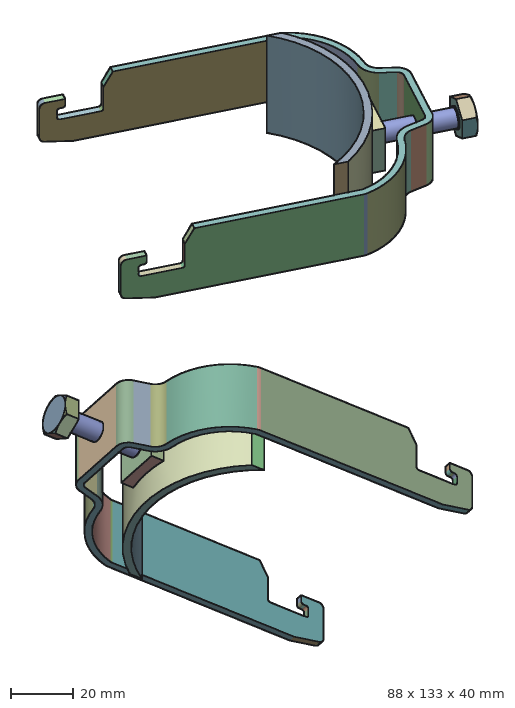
import cadquery as cq
import math

STRAP_WIDTH = 88.0
STRAP_HEIGHT = 25.3
STRAP_THICKNESS = 2.5
LEG_END_Y = -52.7
CROWN_Y = 63.5
BRIDGE_HALF_WIDTH = 14.5
WALL_LEAN = 15.5
SHOULDER_RADIUS = 27.4
SHOULDER_X = 17.4
SHOULDER_Y = 23.7
BRIDGE_BEND_RADIUS = 4.8
VALLEY_BEND_RADIUS = 4.8
LEG_BEND_RADIUS = 5.0

SLOPE_START_Y = -27.8
POCKET_TOP_Z = 7.0
POCKET_NEAR_Y = -31.0
POCKET_FAR_Y = -46.7
POCKET_FLOOR_Z = -2.7
HOOK_TIP_Y = -43.9
HOOK_TIP_Z = 1.9
HOOK_TOP_Z = 5.3
TAPER_START_Y = -41.2
TAPER_RISE = 2.4
POCKET_RADIUS = 0.9
HOOK_TIP_RADIUS = 1.0
HOOK_OUTER_RADIUS = 2.0

SADDLE_INNER_RADIUS = 41.6
SADDLE_THICKNESS = 2.8
SADDLE_WIDTH = 70.4
SADDLE_HEIGHT = 40.0
BLOCK_SIDE = 17.4
BLOCK_TOP_Y = 48.3

SHANK_DIAMETER = 7.0
SHANK_TIP_CHAMFER = 0.3
COLLAR_DIAMETER = 7.8
COLLAR_THICKNESS = 0.4
HEAD_ACROSS_FLATS = 13.0
HEAD_HEIGHT = 5.3
HEAD_CHAMFER_ANGLE = 30.0
BOLT_TOP_Y = LEG_END_Y + 133.0


def y_cylinder(diameter, start_y, end_y):
    """Cylinder along the Y axis between two Y positions."""
    disc = cq.Workplane("XZ", origin=(0, start_y, 0)).circle(diameter / 2)
    return disc.extrude(start_y - end_y)


def strap_band():
    """Bent strip of constant thickness, before the leg ends are shaped."""
    half_width = STRAP_WIDTH / 2
    lean = math.tan(math.radians(WALL_LEAN))

    def shoulder_y(x):
        return SHOULDER_Y + math.sqrt(SHOULDER_RADIUS**2 - (x - SHOULDER_X) ** 2)

    shoulder_top_y = SHOULDER_Y + SHOULDER_RADIUS
    valley_x = BRIDGE_HALF_WIDTH + (CROWN_Y - shoulder_top_y) * lean
    valley_y = shoulder_y(valley_x)
    leg_top_y = shoulder_y(half_width)
    middle_x = (valley_x + half_width) / 2
    middle_y = shoulder_y(middle_x)

    blank = (
        cq.Workplane("XY", origin=(0, 0, -STRAP_HEIGHT / 2))
        .moveTo(-half_width, LEG_END_Y - STRAP_THICKNESS)
        .lineTo(half_width, LEG_END_Y - STRAP_THICKNESS)
        .lineTo(half_width, leg_top_y)
        .threePointArc((middle_x, middle_y), (valley_x, valley_y))
        .lineTo(BRIDGE_HALF_WIDTH, CROWN_Y)
        .lineTo(-BRIDGE_HALF_WIDTH, CROWN_Y)
        .lineTo(-valley_x, valley_y)
        .threePointArc((-middle_x, middle_y), (-half_width, leg_top_y))
        .close()
        .extrude(STRAP_HEIGHT)
    )
    bends = [
        (half_width, leg_top_y, LEG_BEND_RADIUS),
        (valley_x, valley_y, VALLEY_BEND_RADIUS),
        (BRIDGE_HALF_WIDTH, CROWN_Y, BRIDGE_BEND_RADIUS),
    ]
    for x, y, radius in bends:
        for side in (-1, 1):
            corner = cq.selectors.NearestToPointSelector((side * x, y, 0))
            blank = blank.edges("|Z").edges(corner).fillet(radius)

    inside_wire = blank.faces("<Z").wires().val().offset2D(-STRAP_THICKNESS, "intersection")
    inside = cq.Workplane("XY").newObject(inside_wire).toPending().extrude(STRAP_HEIGHT)
    return blank.cut(inside)


def leg_side_profile():
    """Side shape of the legs with their hooks, extruded across the full width."""
    half_height = STRAP_HEIGHT / 2
    profile = (
        cq.Workplane("YZ", origin=(-STRAP_WIDTH / 2, 0, 0))
        .moveTo(CROWN_Y, half_height)
        .lineTo(SLOPE_START_Y, half_height)
        .lineTo(POCKET_NEAR_Y, POCKET_TOP_Z)
        .lineTo(POCKET_NEAR_Y, POCKET_FLOOR_Z)
        .lineTo(POCKET_FAR_Y, POCKET_FLOOR_Z)
        .lineTo(POCKET_FAR_Y, HOOK_TIP_Z)
        .lineTo(HOOK_TIP_Y, HOOK_TIP_Z)
        .lineTo(HOOK_TIP_Y, HOOK_TOP_Z)
        .lineTo(LEG_END_Y, HOOK_TOP_Z)
        .lineTo(LEG_END_Y, -half_height + TAPER_RISE)
        .lineTo(TAPER_START_Y, -half_height)
        .lineTo(CROWN_Y, -half_height)
        .close()
        .extrude(STRAP_WIDTH)
    )
    rounded_corners = [
        (POCKET_NEAR_Y, POCKET_FLOOR_Z, POCKET_RADIUS),
        (POCKET_FAR_Y, POCKET_FLOOR_Z, POCKET_RADIUS),
        (POCKET_FAR_Y, HOOK_TIP_Z, POCKET_RADIUS),
        (HOOK_TIP_Y, HOOK_TIP_Z, HOOK_TIP_RADIUS),
        (LEG_END_Y, HOOK_TOP_Z, HOOK_OUTER_RADIUS),
        (LEG_END_Y, -half_height + TAPER_RISE, HOOK_OUTER_RADIUS),
    ]
    for y, z, radius in rounded_corners:
        corner = cq.selectors.NearestToPointSelector((0, y, z))
        profile = profile.edges("|X").edges(corner).fillet(radius)
    return profile


def make_strap():
    bolt_hole = y_cylinder(SHANK_DIAMETER, CROWN_Y - 2 * STRAP_THICKNESS, CROWN_Y + STRAP_THICKNESS)
    return strap_band().intersect(leg_side_profile()).cut(bolt_hole)


def make_saddle():
    """Curved plate with square-cut ends and a square pad under the bolt."""
    outer_radius = SADDLE_INNER_RADIUS + SADDLE_THICKNESS
    ring = (
        cq.Workplane("XY")
        .circle(outer_radius)
        .extrude(SADDLE_HEIGHT / 2, both=True)
    )
    window = cq.Workplane("XY").box(
        SADDLE_WIDTH, outer_radius, SADDLE_HEIGHT, centered=(True, False, True)
    )
    block = cq.Workplane("XY").box(
        BLOCK_SIDE, BLOCK_TOP_Y, BLOCK_SIDE, centered=(True, False, True)
    )
    bore = (
        cq.Workplane("XY")
        .circle(SADDLE_INNER_RADIUS)
        .extrude(SADDLE_HEIGHT / 2, both=True)
    )
    return ring.intersect(window).union(block).cut(bore)


def make_bolt():
    """Hexagon-head bolt whose tip bears on the saddle block."""
    head_base_y = BOLT_TOP_Y - HEAD_HEIGHT
    across_corners = HEAD_ACROSS_FLATS / math.cos(math.pi / 6)
    shank = y_cylinder(SHANK_DIAMETER, BLOCK_TOP_Y, head_base_y)
    shank = shank.faces("<Y").chamfer(SHANK_TIP_CHAMFER)
    collar = y_cylinder(COLLAR_DIAMETER, head_base_y - COLLAR_THICKNESS, head_base_y)

    head = (
        cq.Workplane("XZ", origin=(0, head_base_y, 0))
        .transformed(rotate=(0, 0, 90))
        .polygon(6, across_corners)
        .extrude(-HEAD_HEIGHT)
    )
    corner_overhang = (across_corners - HEAD_ACROSS_FLATS) / 2
    chamfer_drop = corner_overhang * math.tan(math.radians(HEAD_CHAMFER_ANGLE))
    trim = (
        cq.Workplane("XY")
        .moveTo(0, head_base_y)
        .lineTo(across_corners / 2, head_base_y)
        .lineTo(across_corners / 2, BOLT_TOP_Y - chamfer_drop)
        .lineTo(HEAD_ACROSS_FLATS / 2, BOLT_TOP_Y)
        .lineTo(0, BOLT_TOP_Y)
        .close()
        .revolve(360, (0, 0, 0), (0, 1, 0))
    )
    return head.intersect(trim).union(collar).union(shank)


strap = make_strap()
saddle = make_saddle()
bolt = make_bolt()

result = cq.Compound.makeCompound([strap.solids().val(), saddle.solids().val(), bolt.solids().val()])